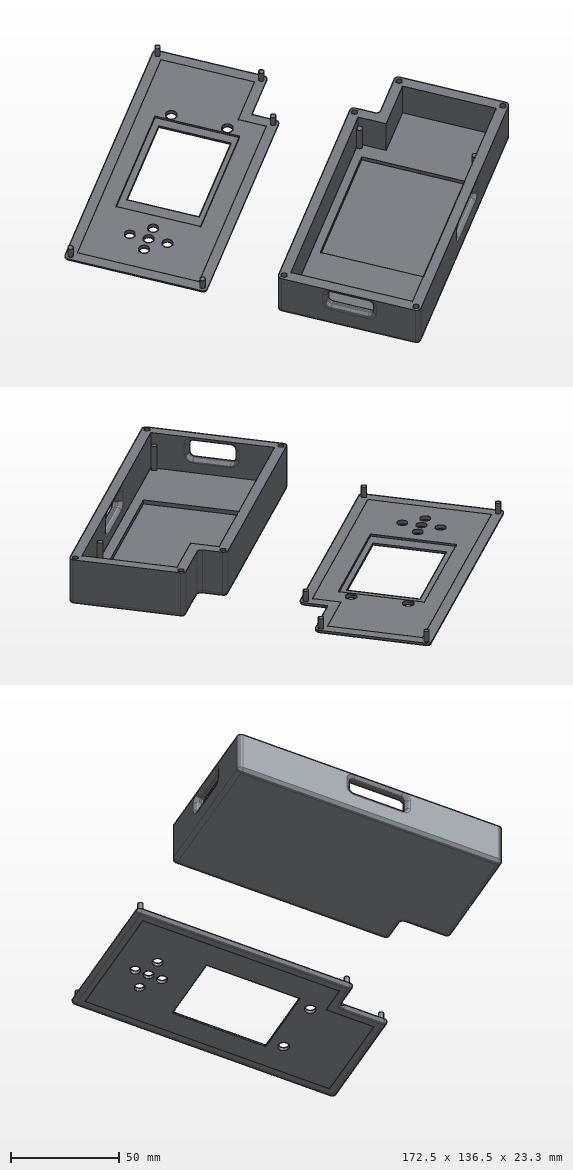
import cadquery as cq

overall_length_x = 172.5
case_width = 69.0
case_depth = 136.5
case_height = 23.3
wall = 5.0
floor_thickness = 5.0
lid_thickness = 2.0
edge_radius = 2.0

outer_x = overall_length_x / 2
inner_x = outer_x - case_width
half_depth = case_depth / 2

notch_width = 13.6
notch_depth = 24.7

pin_hole_diameter = 2.8
pin_clearance = 0.26
pin_diameter = pin_hole_diameter - pin_clearance
pin_height = 5.3
pin_hole_depth = 5.5
pin_inset = wall / 2

window_width = 35.0
window_depth = 48.3
window_center = (-52.5, 0.3)
bezel_width = 41.0
bezel_depth = 59.2
bezel_center = (-52.6, -0.7)
bezel_recess = 1.0
button_diameter = 5.0
button_center = (-52.6, -44.9)
button_spacing_x = 9.1
button_spacing_y = 6.9
lamp_diameter = 5.3
lamp_spacing = 27.3
lamp_y = 32.0

battery_width = 50.2
battery_depth = 62.6
battery_center = (51.5, 0.0)
battery_recess = 2.0
post_diameter = 2.8
post_height = 12.6
post_spacing_x = 55.9
post_spacing_y = 99.0
post_center = (51.5, -12.5)
port_height = 9.1
port_z = 16.5
port_corner_radius = 2.0
port_edge_radius = 2.0
front_port_length = 22.1
front_port_x = 52.3
side_port_length = 28.8
side_port_y = 4.0
pick_margin = 0.2


def notched_profile(side, inset):
    """Closed outline of a notched rectangle, moved inward by inset; side is -1 for lid, +1 for case."""
    far = side * (outer_x - inset)
    near = side * (inner_x + inset)
    notch = side * (inner_x + notch_width + inset)
    back = half_depth - inset
    front = -back
    shoulder = back - notch_depth
    points = [(far, front), (near, front), (near, shoulder), (notch, shoulder), (notch, back), (far, back)]
    return cq.Workplane("XY").polyline(points).close()


def rounded_block(side, height):
    """Notched block with rounded upright edges and a rounded bottom edge."""
    block = notched_profile(side, 0).extrude(height)
    return block.edges("|Z").fillet(edge_radius).faces("<Z").edges().fillet(edge_radius)


def pin_points(side):
    """Pin positions, one near each convex corner."""
    far = side * (outer_x - pin_inset)
    near = side * (inner_x + pin_inset)
    notch = side * (inner_x + notch_width + pin_inset)
    back = half_depth - pin_inset
    return [(far, -back), (near, -back), (near, back - notch_depth), (notch, back), (far, back)]


def rods(points, diameter, base_z, height):
    """Upright cylinders standing at the given points."""
    return cq.Workplane("XY", origin=(0, 0, base_z)).pushPoints(points).circle(diameter / 2).extrude(height)


def block_at(center, width, depth, base_z, height):
    """Upright rectangular block centred on a point."""
    return cq.Workplane("XY", origin=(*center, base_z)).rect(width, depth).extrude(height)


def make_lid_frame():
    """Border of the lid with the pins that plug into the case."""
    blank = rounded_block(-1, 2 * lid_thickness)
    slab = notched_profile(-1, 0).extrude(lid_thickness)
    opening = notched_profile(-1, wall).extrude(lid_thickness)
    pins = rods(pin_points(-1), pin_diameter, lid_thickness, pin_height)
    return blank.intersect(slab).cut(opening).union(pins)


def make_lid_panel():
    """Panel filling the lid frame, with window, lamp holes and a cross of button holes."""
    panel = notched_profile(-1, wall).extrude(lid_thickness)
    panel = panel.cut(block_at(window_center, window_width, window_depth, 0, lid_thickness))
    panel = panel.cut(block_at(bezel_center, bezel_width, bezel_depth, lid_thickness - bezel_recess, bezel_recess))
    x, y = button_center
    buttons = [(x, y)]
    for sign in (-1, 1):
        buttons.append((x + sign * button_spacing_x, y))
        buttons.append((x, y + sign * button_spacing_y))
    lamps = [(x + sign * lamp_spacing / 2, lamp_y) for sign in (-1, 1)]
    panel = panel.cut(rods(buttons, button_diameter, 0, lid_thickness))
    return panel.cut(rods(lamps, lamp_diameter, 0, lid_thickness))


def cut_port(case, plane, length):
    """Cut a rounded slot through one wall and round its rims on both wall faces."""
    slot = cq.Workplane(plane).sketch().rect(length, port_height).vertices().fillet(port_corner_radius)
    slot = slot.finalize().extrude(-wall)
    case = case.cut(slot)
    corner = plane.toWorldCoords((length / 2 + pick_margin, port_height / 2 + pick_margin, pick_margin))
    opposite = plane.toWorldCoords((-length / 2 - pick_margin, -port_height / 2 - pick_margin, -wall - pick_margin))
    slot_box = cq.selectors.BoxSelector(corner.toTuple(), opposite.toTuple(), boundingbox=True)
    parallel_to_wall = cq.selectors.PerpendicularDirSelector(plane.zDir)
    rims = case.edges(slot_box).edges(parallel_to_wall)
    return case.newObject(rims.vals()).fillet(port_edge_radius)


def make_case():
    """Open tray with pin holes, battery recess, board posts and two ports."""
    case = rounded_block(1, case_height)
    case = case.cut(notched_profile(1, wall).extrude(case_height).translate((0, 0, floor_thickness)))
    front_plane = cq.Plane(origin=(front_port_x, -half_depth, port_z), xDir=(1, 0, 0), normal=(0, -1, 0))
    side_plane = cq.Plane(origin=(outer_x, side_port_y, port_z), xDir=(0, 1, 0), normal=(1, 0, 0))
    case = cut_port(case, front_plane, front_port_length)
    case = cut_port(case, side_plane, side_port_length)
    case = case.cut(rods(pin_points(1), pin_hole_diameter, case_height - pin_hole_depth, pin_hole_depth))
    recess_z = floor_thickness - battery_recess
    case = case.cut(block_at(battery_center, battery_width, battery_depth, recess_z, battery_recess))
    x, y = post_center
    posts = [(x + i * post_spacing_x / 2, y + j * post_spacing_y / 2) for i in (-1, 1) for j in (-1, 1)]
    return case.union(rods(posts, post_diameter, floor_thickness, post_height))


lid_frame = make_lid_frame()
lid_panel = make_lid_panel()
case = make_case()

result = cq.Compound.makeCompound([lid_frame.val(), lid_panel.val(), case.val()])